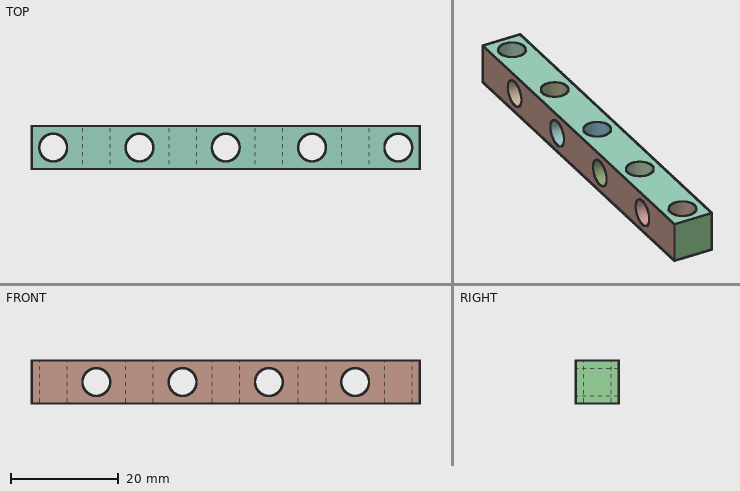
import cadquery as cq

length = 72.0
module_count = 9
side = length / module_count
hole_pitch = 2 * side
hole_diameter = 5.1
vertical_hole_count = 5
horizontal_hole_count = 4


def drill_row(body, face, count):
    """Drill a centred row of through holes along X, starting from a face."""
    return (
        body.faces(face)
        .workplane(centerOption="CenterOfBoundBox")
        .rarray(hole_pitch, side, count, 1)
        .hole(hole_diameter)
    )


beam = cq.Workplane("XY").box(length, side, side)
beam = drill_row(beam, ">Z", vertical_hole_count)
result = drill_row(beam, "<Y", horizontal_hole_count)